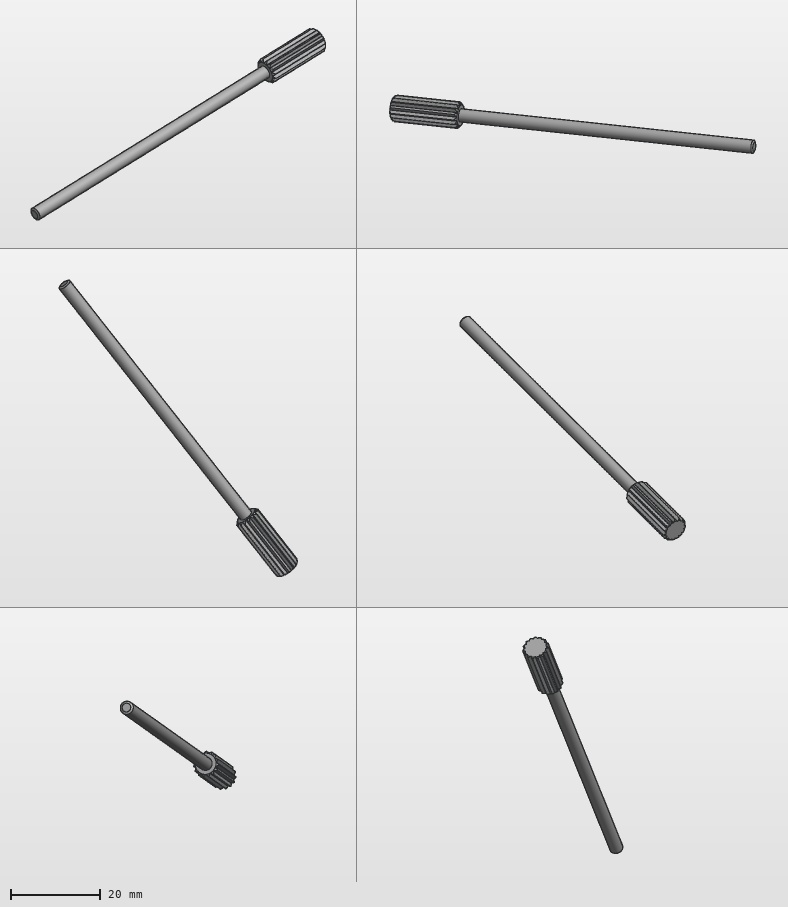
import cadquery as cq
import math

total_length = 86.0
shaft_diameter = 3.0
shaft_tip_chamfer_length = 0.3
shaft_tip_chamfer_depth = 0.5

head_length = 16.0
head_tip_radius = 3.0
head_root_radius = 2.4
tooth_count = 15
tooth_root_width = 0.95
front_chamfer = head_tip_radius - head_root_radius
back_chamfer = 0.4

back_y = total_length / 2
front_y = -total_length / 2
head_front_y = back_y - head_length


def rod_along_y(radius, start_y, length):
    """Solid cylinder on the Y axis, running from start_y toward +Y."""
    plane = cq.Plane(origin=(0, start_y, 0), xDir=(-1, 0, 0), normal=(0, 1, 0))
    return cq.Workplane(plane).circle(radius).extrude(length)


def make_shaft():
    """Plain shaft with a chamfered free end, running up to the head."""
    radius = shaft_diameter / 2
    return (
        cq.Workplane("XY")
        .moveTo(0, front_y)
        .lineTo(radius - shaft_tip_chamfer_depth, front_y)
        .lineTo(radius, front_y + shaft_tip_chamfer_length)
        .lineTo(radius, head_front_y)
        .lineTo(0, head_front_y)
        .close()
        .revolve(360, (0, 0, 0), (0, 1, 0))
    )


def tooth_profile_points(tooth):
    """Root, tip and root corners of one pointed tooth; tooth 0 points to +Z."""
    centre = 2 * math.pi * tooth / tooth_count
    root_half_angle = math.asin(tooth_root_width / 2 / head_root_radius)
    corners = [
        (head_root_radius, centre - root_half_angle),
        (head_tip_radius, centre),
        (head_root_radius, centre + root_half_angle),
    ]
    return [(r * math.sin(angle), r * math.cos(angle)) for r, angle in corners]


def make_head():
    """Toothed head, its tooth ends bevelled by a chamfered envelope."""
    outline = []
    for tooth in range(tooth_count):
        outline += tooth_profile_points(tooth)
    plane = cq.Plane(origin=(0, head_front_y, 0), xDir=(-1, 0, 0), normal=(0, 1, 0))
    teeth = cq.Workplane(plane).polyline(outline).close().extrude(head_length)
    envelope = rod_along_y(head_tip_radius, head_front_y, head_length)
    envelope = envelope.faces("<Y").chamfer(front_chamfer)
    envelope = envelope.faces(">Y").chamfer(back_chamfer)
    core = rod_along_y(head_root_radius, head_front_y, head_length)
    return core.union(teeth).intersect(envelope)


result = make_shaft().union(make_head())